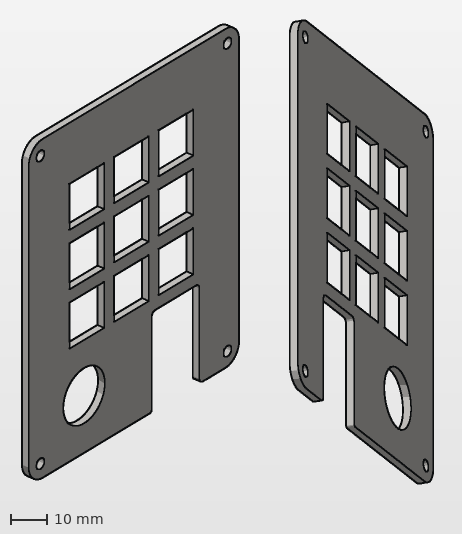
import cadquery as cq

thickness = 2.5
width = 89.97
height = 108.76
corner_radius = 6.0

mount_hole_diameter = 3.4
mount_hole_inset = 5.0

key_count = 3
key_pitch = 19.05
key_size = 14.75
key_grid_y = -1.05
key_grid_z = 8.3

knob_diameter = 17.71
knob_y = -21.3
knob_z = -36.0

notch_width = 20.35
notch_depth = 32.1
notch_y = 17.8
notch_radius = 1.5
notch_small_radius = 0.8

bottom_z = -height / 2
notch_plus_y = notch_y + notch_width / 2
notch_minus_y = notch_y - notch_width / 2


def make_plate():
    plate = cq.Workplane("XY").box(thickness, width, height)
    return plate.edges("|X").fillet(corner_radius)


def through_box(size_y, size_z, y, z):
    """Rectangular cutter through the plate, centred at (y, z)."""
    return cq.Workplane("XY").box(2 * thickness, size_y, size_z).translate((0, y, z))


def cut_round_holes(plate, diameter, centres):
    cutters = (
        cq.Workplane("YZ")
        .pushPoints(centres)
        .circle(diameter / 2)
        .extrude(thickness, both=True)
    )
    return plate.cut(cutters)


def cut_mount_holes(plate):
    hole_y = width / 2 - mount_hole_inset
    hole_z = height / 2 - mount_hole_inset
    centres = [(side_y * hole_y, side_z * hole_z) for side_y in (-1, 1) for side_z in (-1, 1)]
    return cut_round_holes(plate, mount_hole_diameter, centres)


def cut_key_openings(plate):
    middle = (key_count - 1) / 2
    for column in range(key_count):
        for row in range(key_count):
            y = key_grid_y + (column - middle) * key_pitch
            z = key_grid_z + (row - middle) * key_pitch
            plate = plate.cut(through_box(key_size, key_size, y, z))
    return plate


def round_notch_corner(plate, y, z, radius):
    """Fillet the edge along X nearest to the notch corner at (y, z)."""
    return plate.edges("|X").edges(cq.NearestToPointSelector((0, y, z))).fillet(radius)


def cut_notch(plate):
    top_z = bottom_z + notch_depth
    plate = plate.cut(through_box(notch_width, 2 * notch_depth, notch_y, bottom_z))
    plate = round_notch_corner(plate, notch_plus_y, top_z, notch_radius)
    plate = round_notch_corner(plate, notch_minus_y, top_z, notch_radius)
    plate = round_notch_corner(plate, notch_plus_y, bottom_z, notch_radius)
    return round_notch_corner(plate, notch_minus_y, bottom_z, notch_small_radius)


result = make_plate()
result = cut_notch(result)
result = cut_mount_holes(result)
result = cut_key_openings(result)
result = cut_round_holes(result, knob_diameter, [(knob_y, knob_z)])